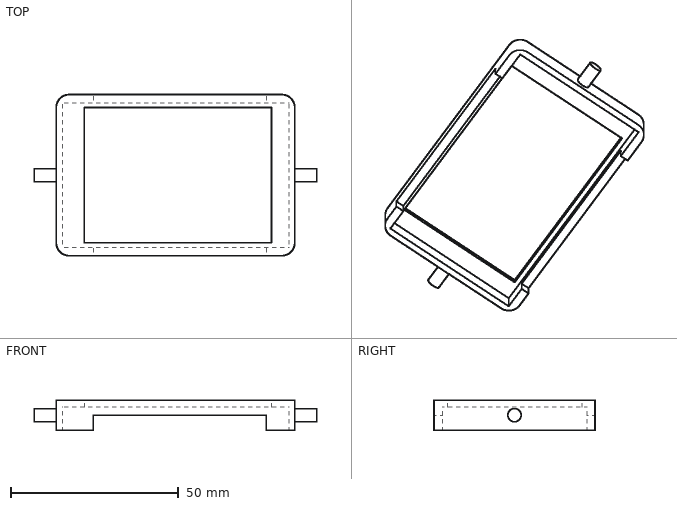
import cadquery as cq

overall_length = 84.2
frame_length = 71.15
frame_width = 48.1
frame_height = 9.0
corner_radius = 3.95

end_bar_left = 8.4
end_bar_right = 7.0
side_rail_width = 3.95

top_thickness = 2.0
end_wall = 1.85
side_wall = 2.5

foot_length_left = 11.1
foot_length_right = 8.6
clearance_height = 4.5

pin_diameter = 3.95


def box_between(x_min, x_max, width, z_min, z_max):
    """Box centred on Y between the given X and Z limits."""
    return (
        cq.Workplane("XY", origin=((x_min + x_max) / 2, 0, z_min))
        .rect(x_max - x_min, width)
        .extrude(z_max - z_min)
    )


frame_left = -frame_length / 2
frame_right = frame_length / 2

frame = box_between(frame_left, frame_right, frame_width, 0, frame_height)
frame = frame.edges("|Z").fillet(corner_radius)

window = box_between(
    frame_left + end_bar_left,
    frame_right - end_bar_right,
    frame_width - 2 * side_rail_width,
    0,
    frame_height,
)

pocket = box_between(
    frame_left + end_wall,
    frame_right - end_wall,
    frame_width - 2 * side_wall,
    0,
    frame_height - top_thickness,
)

clearance = box_between(
    frame_left + foot_length_left,
    frame_right - foot_length_right,
    frame_width,
    0,
    clearance_height,
)

result = frame.cut(window).cut(pocket).cut(clearance)

pin_length = (overall_length - frame_length) / 2
for end_x, direction in ((frame_left, -1), (frame_right, 1)):
    pin = (
        cq.Workplane("YZ", origin=(end_x, 0, frame_height / 2))
        .circle(pin_diameter / 2)
        .extrude(direction * pin_length)
    )
    result = result.union(pin)